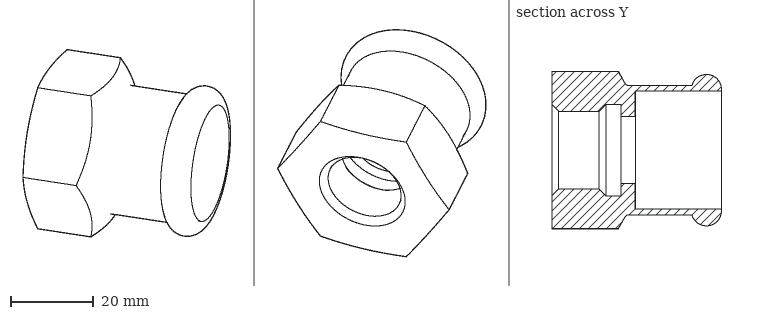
import cadquery as cq
import math

length = 41.0
across_corners = 43.9
across_flats = across_corners * math.cos(math.radians(30))

face_bevel_angle = math.radians(15)
shoulder_angle = math.radians(30)
shoulder_start = 16.05
root_fillet = 0.8

tube_diameter = 31.4
bead_diameter = 36.7
bead_radius = 3.7

mouth_diameter = 22.0
thread_diameter = 18.65
stop_diameter = 16.0
socket_diameter = 28.4
mouth_depth = (mouth_diameter - thread_diameter) / 2
relief_start = 11.4
relief_diameter = mouth_diameter
relief_depth = (relief_diameter - thread_diameter) / 2
stop_start = 16.67
socket_start = 20.2

flat_radius = across_flats / 2
corner_radius = across_corners / 2
tube_radius = tube_diameter / 2


def revolve_about_x(profile):
    """Turn a closed XY profile, drawn as (axial, radial), about the X axis."""
    return profile.close().revolve(360, (0, 0, 0), (1, 0, 0))


def shoulder_x(radius):
    """Axial position of the rear cone at a given radius."""
    return shoulder_start + (flat_radius - radius) * math.tan(shoulder_angle)


def hex_head():
    """Hexagon with corners on the Y axis, bevelled in front and coned behind."""
    rear = shoulder_x(tube_radius)
    prism = cq.Workplane("YZ").polygon(6, across_corners).extrude(rear)
    bevel_depth = (corner_radius - flat_radius) * math.tan(face_bevel_angle)
    turned_blank = revolve_about_x(
        cq.Workplane("XY")
        .moveTo(0, 0)
        .lineTo(0, flat_radius)
        .lineTo(bevel_depth, corner_radius)
        .lineTo(shoulder_x(corner_radius), corner_radius)
        .lineTo(rear, tube_radius)
        .lineTo(rear, 0)
    )
    return prism.intersect(turned_blank)


def press_tube():
    """Plain tube, filleted into the rear cone of the head."""
    root = shoulder_x(tube_radius)
    half_turn = (math.pi / 2 - shoulder_angle) / 2
    tangent = root_fillet * math.tan(half_turn)
    cone_x = root - tangent * math.sin(shoulder_angle)
    cone_radius = tube_radius + tangent * math.cos(shoulder_angle)
    arc_middle = (
        root + tangent - root_fillet * math.sin(half_turn),
        tube_radius + root_fillet * (1 - math.cos(half_turn)),
    )
    return revolve_about_x(
        cq.Workplane("XY")
        .moveTo(cone_x, 0)
        .lineTo(cone_x, cone_radius)
        .threePointArc(arc_middle, (root + tangent, tube_radius))
        .lineTo(length - bead_radius, tube_radius)
        .lineTo(length - bead_radius, 0)
    )


def end_bead():
    """Half-round bead that closes the tube end."""
    crest = bead_diameter / 2
    base = crest - bead_radius
    return revolve_about_x(
        cq.Workplane("XY")
        .moveTo(length - 2 * bead_radius, 0)
        .lineTo(length - 2 * bead_radius, base)
        .threePointArc((length - bead_radius, crest), (length, base))
        .lineTo(length, 0)
    )


def stepped_bore():
    """Countersunk thread bore, run-out relief, pipe stop and tube socket."""
    return revolve_about_x(
        cq.Workplane("XY")
        .moveTo(0, 0)
        .lineTo(0, mouth_diameter / 2)
        .lineTo(mouth_depth, thread_diameter / 2)
        .lineTo(relief_start, thread_diameter / 2)
        .lineTo(relief_start + relief_depth, relief_diameter / 2)
        .lineTo(stop_start, relief_diameter / 2)
        .lineTo(stop_start, stop_diameter / 2)
        .lineTo(socket_start, stop_diameter / 2)
        .lineTo(socket_start, socket_diameter / 2)
        .lineTo(length, socket_diameter / 2)
        .lineTo(length, 0)
    )


result = hex_head().union(press_tube()).union(end_bead()).cut(stepped_bore())